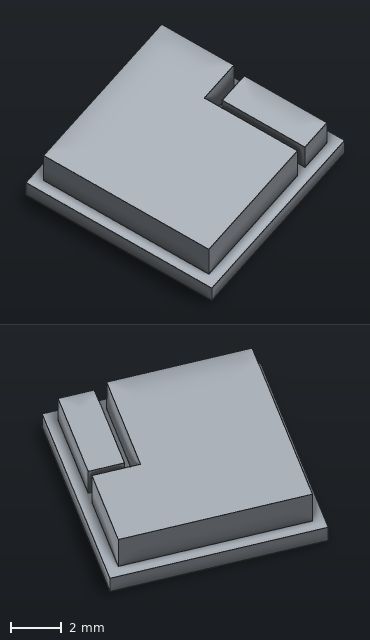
import cadquery as cq

board_side = 9.0
board_thickness = 0.8

clearance = 0.5

shield_height = 1.6
shield_side = board_side - 2 * clearance

chip_length = 4.0
chip_width = 1.5
chip_height = 1.3

notch_length = chip_length + clearance
notch_width = chip_width + clearance

component_limit = shield_side / 2


def corner_block(length, width, height):
    """Block on top of the board, filling the +X, +Y corner of the component area."""
    return (
        cq.Workplane("XY")
        .box(length, width, height, centered=False)
        .translate((component_limit - length, component_limit - width, board_thickness))
    )


def make_board():
    return cq.Workplane("XY").box(board_side, board_side, board_thickness, centered=(True, True, False))


def make_shield():
    full_block = corner_block(shield_side, shield_side, shield_height)
    notch = corner_block(notch_length, notch_width, shield_height)
    return full_block.cut(notch).solids()


def make_chip():
    return corner_block(chip_length, chip_width, chip_height)


board = make_board()
shield = make_shield()
chip = make_chip()

result = cq.Compound.makeCompound([board.val(), shield.val(), chip.val()])